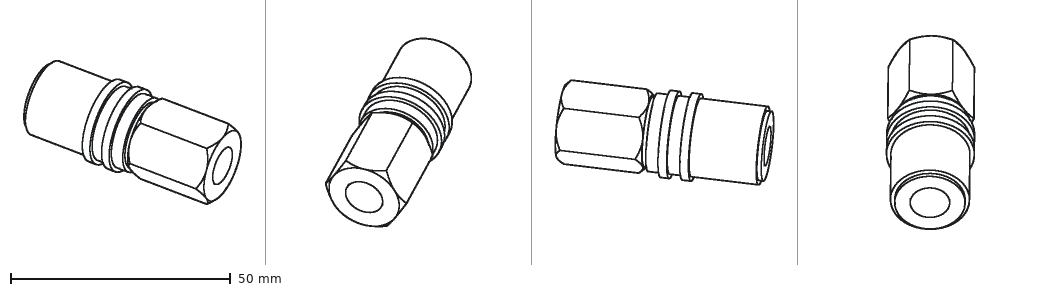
import cadquery as cq
import math

total_length = 47.5
nose_length = 1.0
hex_length = 20.0
neck_length = 1.0
flange_width = 2.0
flange_starts = (16.5, 21.5)

nose_diameter = 16.0
body_diameter = 18.0
flange_diameter = 20.0
neck_diameter = 16.0
bore_diameter = 9.0

hex_flats = 17.0
hex_corners = hex_flats / math.cos(math.radians(30))
chamfer_angle = 45.0
chamfer_face_diameter = hex_flats

hex_start = total_length - hex_length
body_end = hex_start - neck_length


def cylinder(start, end, diameter):
    """Solid cylinder around the X axis between two X positions."""
    return cq.Workplane("YZ", origin=(start, 0, 0)).circle(diameter / 2).extrude(end - start)


def chamfered_hex():
    """Hexagonal prism whose corners are cut back by a cone at both ends."""
    prism = cq.Workplane("YZ", origin=(hex_start, 0, 0)).polygon(6, hex_corners).extrude(hex_length)
    face_radius = chamfer_face_diameter / 2
    corner_radius = hex_corners / 2
    chamfer_depth = (corner_radius - face_radius) / math.tan(math.radians(chamfer_angle))
    envelope = (
        cq.Workplane("XY")
        .moveTo(hex_start, 0)
        .lineTo(hex_start, face_radius)
        .lineTo(hex_start + chamfer_depth, corner_radius)
        .lineTo(total_length - chamfer_depth, corner_radius)
        .lineTo(total_length, face_radius)
        .lineTo(total_length, 0)
        .close()
        .revolve(360, (0, 0, 0), (1, 0, 0))
    )
    return prism.intersect(envelope)


sleeve = cylinder(0, nose_length, nose_diameter)
sleeve = sleeve.union(cylinder(nose_length, body_end, body_diameter))
for start in flange_starts:
    sleeve = sleeve.union(cylinder(start, start + flange_width, flange_diameter))
sleeve = sleeve.union(cylinder(body_end, hex_start, neck_diameter))

bore = cylinder(0, total_length, bore_diameter)
result = sleeve.union(chamfered_hex()).cut(bore)